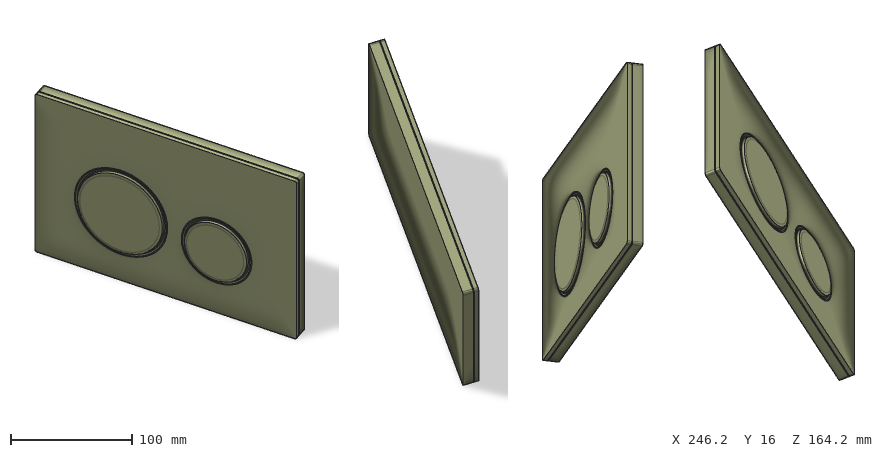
import cadquery as cq

WIDTH = 246.2
HEIGHT = 164.2
CORNER_RADIUS = 2.2
TOTAL_DEPTH = 16.0
BUTTON_RISE = 2.5
FACE_DEPTH = TOTAL_DEPTH - BUTTON_RISE

HOUSING_DEPTH = 8.9
LIP_DEPTH = 0.7
LIP_INSET = 0.2
COVER_BACK = HOUSING_DEPTH + LIP_DEPTH
COVER_THICKNESS = FACE_DEPTH - COVER_BACK

BUTTONS = [(-42.0, -11.3, 40.0), (47.8, -18.0, 29.3)]
BUTTON_FLARE = 0.2
CROWN_WIDTH = 2.5
CROWN_DROP = 0.5

RING_WIDTH = 3.7
RING_FLOOR_WIDTH = 1.2
RING_LIP_WIDTH = 1.0
RING_RECESS = 0.7


def rounded_slab(inset, back, thickness):
    """Rounded rectangle, inset from the outer outline, growing toward the front."""
    return (
        cq.Workplane("XZ", origin=(0, -back, 0))
        .rect(WIDTH - 2 * inset, HEIGHT - 2 * inset)
        .extrude(thickness)
        .edges("|Y")
        .fillet(CORNER_RADIUS - inset)
    )


def revolved(profile, x, z):
    """Revolve (radius, depth) points about a button axis."""
    points = [(radius, -depth) for radius, depth in profile]
    return (
        cq.Workplane("XY")
        .polyline(points)
        .close()
        .revolve(360, (0, 0), (0, 1))
        .translate((x, 0, z))
    )


def make_housing():
    body = rounded_slab(0, 0, HOUSING_DEPTH)
    return body.union(rounded_slab(LIP_INSET, HOUSING_DEPTH, LIP_DEPTH))


def make_cover():
    cover = rounded_slab(0, COVER_BACK, COVER_THICKNESS)
    for x, z, rim_radius in BUTTONS:
        opening_radius = rim_radius + BUTTON_FLARE + RING_WIDTH
        opening = (
            cq.Workplane("XZ", origin=(x, -COVER_BACK, z))
            .circle(opening_radius)
            .extrude(COVER_THICKNESS)
        )
        cover = cover.cut(opening)
    return cover


def make_ring(x, z, rim_radius):
    inner = rim_radius + BUTTON_FLARE
    outer = inner + RING_WIDTH
    floor = FACE_DEPTH - RING_RECESS
    return revolved(
        [
            (inner, COVER_BACK),
            (outer, COVER_BACK),
            (outer, FACE_DEPTH),
            (outer - RING_LIP_WIDTH, FACE_DEPTH),
            (inner + RING_FLOOR_WIDTH, floor),
            (inner, floor),
        ],
        x,
        z,
    )


def make_button(x, z, rim_radius):
    base_radius = rim_radius + BUTTON_FLARE
    return revolved(
        [
            (0, COVER_BACK),
            (base_radius, COVER_BACK),
            (base_radius, FACE_DEPTH),
            (rim_radius, TOTAL_DEPTH - CROWN_DROP),
            (rim_radius - CROWN_WIDTH, TOTAL_DEPTH),
            (0, TOTAL_DEPTH),
        ],
        x,
        z,
    )


housing = make_housing()
cover = make_cover()
rings = [make_ring(*placement).val() for placement in BUTTONS]
buttons = [make_button(*placement).val() for placement in BUTTONS]

result = cq.Compound.makeCompound([housing.val(), cover.val(), *rings, *buttons])